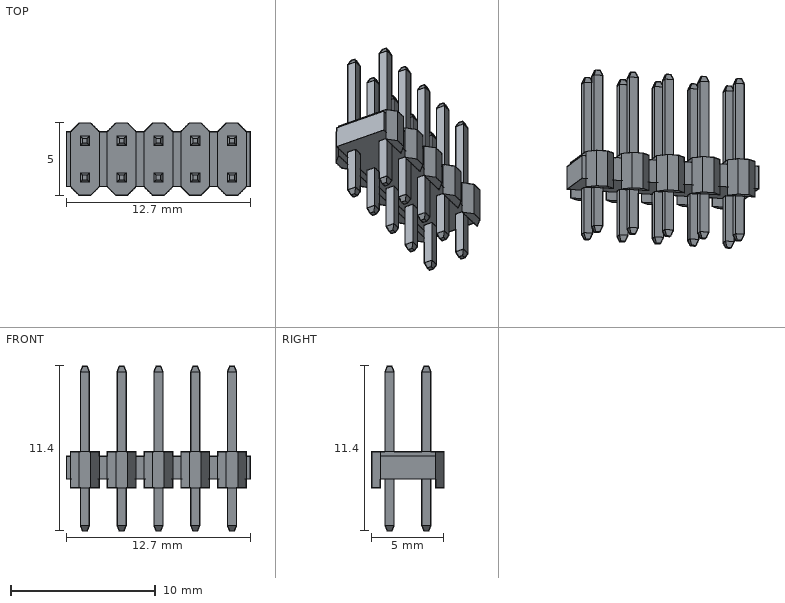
import cadquery as cq


columns = 5
rows = 2
length = 12.7
pitch = length / columns

block_width = 2.0
block_depth = 5.0
block_height = 2.5
corner_chamfer = 0.6
bar_depth = block_depth - 2 * corner_chamfer
bar_top_step = 0.3
channel_height = 0.6
bar_height = block_height - bar_top_step - channel_height

pin_width = 0.64
pin_length = 11.4
pin_bottom = -3.0
tip_length = 0.4
tip_width = pin_width / 2

column_positions = [(i - (columns - 1) / 2) * pitch for i in range(columns)]
row_positions = [(j - (rows - 1) / 2) * pitch for j in range(rows)]
pin_positions = [(x, y) for x in column_positions for y in row_positions]


def make_box(x_size, y_size, z_size, z_bottom):
    """Box centred on the Z axis with its underside at z_bottom."""
    return cq.Workplane("XY", origin=(0, 0, z_bottom)).rect(x_size, y_size).extrude(z_size)


def make_insulator():
    """Blocks with chamfered corners, grooved underneath and tied by the bar."""
    block = make_box(block_width, block_depth, block_height, 0)
    block = block.edges("|Z").chamfer(corner_chamfer)
    block = block.cut(make_box(block_width, bar_depth, channel_height, 0))

    insulator = make_box(length, bar_depth, bar_height, channel_height)
    for x in column_positions:
        insulator = insulator.union(block.translate((x, 0, 0)))
    return insulator


def make_pin():
    """Square pin with a truncated pyramid at each end."""
    shank_length = pin_length - 2 * tip_length
    pin = make_box(pin_width, pin_width, shank_length, pin_bottom + tip_length)
    for end in (">Z", "<Z"):
        tip = (
            pin.faces(end)
            .workplane()
            .rect(pin_width, pin_width)
            .workplane(offset=tip_length)
            .rect(tip_width, tip_width)
            .loft(combine=False)
        )
        pin = pin.union(tip)
    return pin


result = make_insulator()
pin = make_pin()
for x, y in pin_positions:
    result = result.union(pin.translate((x, y, 0)))